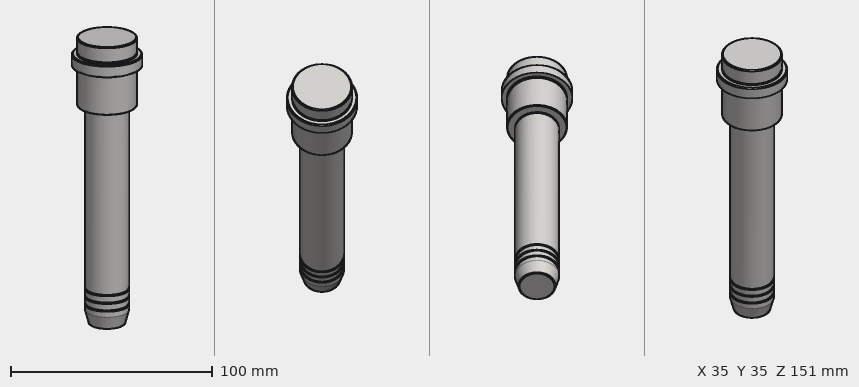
import cadquery as cq
import math

total_length = 151.0
flange_top = 142.2
flange_bottom = 136.2
head_bottom = 115.0
taper_top = 7.2

flange_radius = 17.5
head_radius = 15.0
pin_radius = 11.0

taper_angle = 15.0
tip_chamfer = 0.5
head_top_chamfer = 0.6
head_bottom_chamfer = 0.5
flange_chamfer = 0.6

neck_length = 0.9
neck_depth = 0.5
groove_width = 0.9
groove_depth = 0.5
pin_groove_bottoms = (10.0, 14.0, 18.1)
lower_head_groove_gap = 0.3


def cylinder(radius, bottom, top):
    return cq.Workplane("XY").workplane(offset=bottom).circle(radius).extrude(top - bottom)


def v_groove(radius, bottom):
    """Revolved V-section ring that narrows toward the axis."""
    profile = [
        (radius, bottom),
        (radius - groove_depth, bottom + groove_width / 2),
        (radius, bottom + groove_width),
    ]
    return cq.Workplane("XZ").polyline(profile).close().revolve(360, (0, 0, 0), (0, 1, 0))


def tapered_pin():
    """Guide pin with a conical tip and a narrower neck under the head."""
    tip_radius = pin_radius - taper_top * math.tan(math.radians(taper_angle))
    cone = (
        cq.Workplane("XY")
        .circle(tip_radius)
        .workplane(offset=taper_top)
        .circle(pin_radius)
        .loft(ruled=True)
        .faces("<Z")
        .chamfer(tip_chamfer)
    )
    shaft = cylinder(pin_radius, taper_top, head_bottom - neck_length)
    neck = cylinder(pin_radius - neck_depth, head_bottom - neck_length, head_bottom)
    pin = cone.union(shaft).union(neck)
    for bottom in pin_groove_bottoms:
        pin = pin.cut(v_groove(pin_radius, bottom))
    return pin


def flanged_head():
    """Chamfered head with a V groove on each side of its flange."""
    head = cylinder(head_radius, head_bottom, total_length)
    head = head.faces(">Z").chamfer(head_top_chamfer)
    head = head.faces("<Z").chamfer(head_bottom_chamfer)
    for bottom in (flange_top, flange_bottom - lower_head_groove_gap - groove_width):
        head = head.cut(v_groove(head_radius, bottom))
    flange = cylinder(flange_radius, flange_bottom, flange_top).faces(">Z").chamfer(flange_chamfer)
    return head.union(flange)


result = tapered_pin().union(flanged_head())